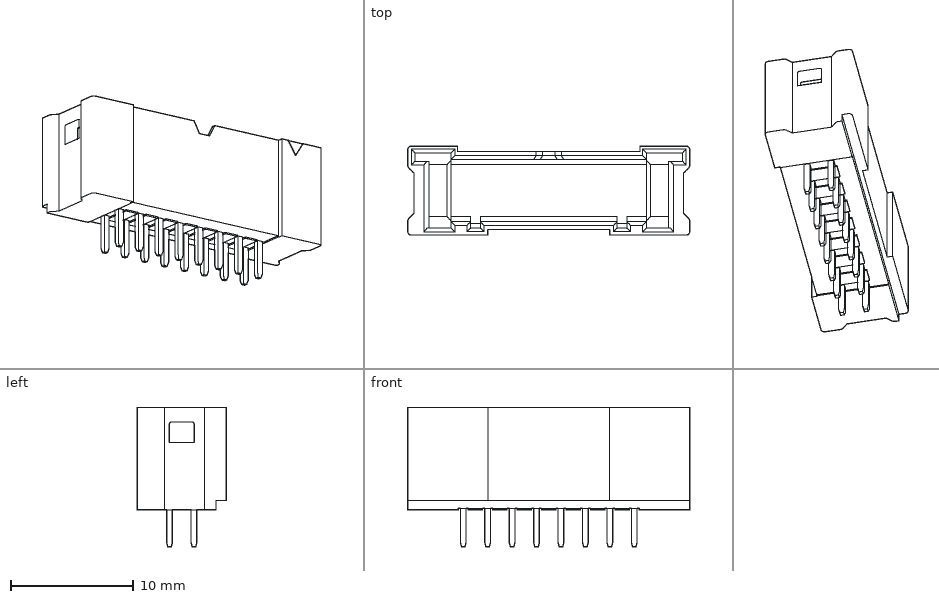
import cadquery as cq
import math

length = 23.1
width = 7.3
total_height = 11.4
pin_drop = 3.03
top = total_height - pin_drop
half_length = length / 2
half_width = width / 2
corner_radius = 0.3

pins_per_row = 8
pin_row_span = 14.0
pitch = pin_row_span / (pins_per_row - 1)
pin_xs = [-pin_row_span / 2 + i * pitch for i in range(pins_per_row)]
pin_ys = (-pitch / 2, pitch / 2)

groove_depth = 0.5
groove_front = -1.85
groove_back = 1.43
groove_lip_radius = 0.35
edge_tolerance = 0.02

front_recess_half = 5.0
back_recess_half = 7.45
front_recess_depth = 0.46
back_recess_depth = 0.45
underside_step_height = 0.76
underside_step_depth = 0.83

rim_chamfer = 0.3
side_chamfer_width = 0.42
side_chamfer_height = 0.5
center_half = 8.0
center_front = -2.55
center_back = 2.56
end_half = 9.8
end_front = -3.07
end_back = 3.1
ear_half = 10.95
ear_front = 2.4

floor_half_width = 2.13
floor_rise = 0.35
center_floor = 1.62
end_floor = center_floor - floor_rise

slot_pitches = 3
slot_offset = slot_pitches * pitch
slot_width = 0.79
slot_front = -3.05

notch_depth = 1.0
notch_top_half = 1.05
notch_bottom_half = 0.5

window_width = 2.0
window_top = top - 1.2
window_bottom = top - 2.86
window_radius = 0.16

mark_x = -8.87
mark_width = 1.5
mark_height = 1.15
mark_depth = 0.058

pin_width = 0.49
pin_tip_width = 0.3
pin_tip_height = 0.35

pin_gap_width = 0.8
relief_depth = 0.12
relief_half = pin_xs[-1] + pin_gap_width / 2
pad_width = pitch - pin_gap_width
pad_half_length = 1.39


def box(x0, x1, y0, y1, z0, z1):
    return cq.Workplane("XY").box(x1 - x0, y1 - y0, z1 - z0, centered=False).translate((x0, y0, z0))


def prism_x(yz_points, x0, x1):
    """Profile in Y and Z, extruded along X."""
    return cq.Workplane("YZ").polyline(yz_points).close().extrude(x1 - x0).translate((x0, 0, 0))


def prism_y(xz_points, y0, y1):
    """Profile in X and Z, extruded along Y."""
    return cq.Workplane("XZ").polyline(xz_points).close().extrude(y0 - y1).translate((0, y0, 0))


def with_mirror(solid):
    return solid.union(solid.mirror("YZ"))


def make_shell():
    shell = box(-half_length, half_length, -half_width, half_width, 0, top)
    shell = shell.edges("|Z").fillet(corner_radius)

    groove = (
        cq.Workplane("XY")
        .moveTo(-half_length, groove_front - groove_depth)
        .lineTo(-half_length + groove_depth, groove_front)
        .lineTo(-half_length + groove_depth, groove_back)
        .lineTo(-half_length, groove_back + groove_depth)
        .close()
        .extrude(top)
    )
    shell = shell.cut(with_mirror(groove))
    for x in (-half_length, half_length):
        for y in (groove_front - groove_depth, groove_back + groove_depth):
            lip = cq.selectors.BoxSelector(
                (x - edge_tolerance, y - edge_tolerance, 0),
                (x + edge_tolerance, y + edge_tolerance, top),
            )
            shell = shell.edges("|Z").edges(lip).fillet(groove_lip_radius)

    front_face = -half_width + front_recess_depth
    back_face = half_width - back_recess_depth
    step_face = -half_width + underside_step_depth
    shell = shell.cut(box(-front_recess_half, front_recess_half, -half_width, front_face, 0, top))
    shell = shell.cut(box(-back_recess_half, back_recess_half, back_face, half_width, 0, top))
    return shell.cut(box(-half_length, half_length, -half_width, step_face, 0, underside_step_height))


def room_profile(front, back, floor):
    """Cavity cross-section: flat floor, 45 degree slopes, upright walls and chamfered rim."""
    return [
        (-floor_half_width, floor),
        (floor_half_width, floor),
        (back, floor + back - floor_half_width),
        (back, top - rim_chamfer),
        (back + rim_chamfer, top),
        (front - rim_chamfer, top),
        (front, top - rim_chamfer),
        (front, floor - front - floor_half_width),
    ]


def make_center_room():
    return prism_x(room_profile(center_front, center_back, center_floor), -center_half, center_half)


def make_end_room():
    across = prism_x(room_profile(end_front, end_back, end_floor), -half_length, 0)
    along = prism_y(
        [
            (-end_half, end_floor),
            (-center_half - floor_rise, end_floor),
            (-center_half, center_floor),
            (-center_half, top - rim_chamfer),
            (-center_half + rim_chamfer, top),
            (-end_half - side_chamfer_width, top),
            (-end_half, top - side_chamfer_height),
        ],
        -half_width,
        half_width,
    )
    return across.intersect(along)


def make_ear():
    """Narrow extension of the end room behind the end wall."""
    across = prism_x(
        [
            (ear_front, end_floor + ear_front - floor_half_width),
            (end_back, end_floor + end_back - floor_half_width),
            (end_back, top - rim_chamfer),
            (end_back + rim_chamfer, top),
            (ear_front - rim_chamfer, top),
            (ear_front, top - rim_chamfer),
        ],
        -half_length,
        0,
    )
    along = prism_y(
        [
            (-ear_half, 0),
            (-end_half, 0),
            (-end_half, top),
            (-ear_half - rim_chamfer, top),
            (-ear_half, top - rim_chamfer),
        ],
        -half_width,
        half_width,
    )
    return across.intersect(along)


def make_slot():
    left = -slot_offset - slot_width / 2
    right = -slot_offset + slot_width / 2
    across = prism_x(
        [
            (0, center_floor),
            (slot_front + floor_rise, center_floor),
            (slot_front, center_floor + floor_rise),
            (slot_front, top - rim_chamfer),
            (slot_front - rim_chamfer, top),
            (0, top),
        ],
        -half_length,
        0,
    )
    along = prism_y(
        [
            (left, 0),
            (right, 0),
            (right, top - rim_chamfer),
            (right + rim_chamfer, top),
            (left - rim_chamfer, top),
            (left, top - rim_chamfer),
        ],
        -half_width,
        0,
    )
    return across.intersect(along)


def make_notch():
    """Trapezoidal notch whose inner edge is chamfered like the rim."""
    flank_slope = (notch_top_half - notch_bottom_half) / notch_depth
    flank_angle = math.atan(1 / flank_slope)
    corner_shift = rim_chamfer * math.tan(flank_angle / 2)

    def outline(offset_down, offset_out):
        bottom_half = notch_bottom_half + offset_out
        top_half = bottom_half + flank_slope * (notch_depth + offset_down)
        floor = top - notch_depth - offset_down
        return [(-top_half, top), (-bottom_half, floor), (bottom_half, floor), (top_half, top)]

    through = prism_y(outline(0, 0), 0, half_width)
    flare = (
        cq.Workplane("XZ", origin=(0, center_back, 0))
        .polyline(outline(rim_chamfer, corner_shift))
        .close()
        .workplane(offset=-rim_chamfer)
        .polyline(outline(0, 0))
        .close()
        .loft(ruled=True)
    )
    return through.union(flare)


def make_windows():
    window = box(
        -half_length, half_length, -window_width / 2, window_width / 2, window_bottom, window_top
    )
    return window.edges("|X and >Z").fillet(window_radius)


def make_pin_one_mark():
    points = [
        (mark_x - mark_width / 2, top),
        (mark_x, top - mark_height),
        (mark_x + mark_width / 2, top),
    ]
    return prism_y(points, half_width - mark_depth, half_width)


def make_underside_relief():
    """Shallow relief open to the front and back, less the pads left standing in it."""
    relief = box(-relief_half, relief_half, -half_width, half_width, 0, relief_depth)
    for x in pin_xs[:-1]:
        pad_left = x + pin_gap_width / 2
        pad = box(pad_left, pad_left + pad_width, -pad_half_length, pad_half_length, 0, relief_depth)
        relief = relief.cut(pad)
    return relief


def make_pin(x, y):
    shank = cq.Workplane("XY").rect(pin_width, pin_width)
    shank = shank.extrude(end_floor + pin_drop - pin_tip_height)
    shank = shank.translate((0, 0, pin_tip_height - pin_drop))
    tip = (
        cq.Workplane("XY", origin=(0, 0, -pin_drop))
        .rect(pin_tip_width, pin_tip_width)
        .workplane(offset=pin_tip_height)
        .rect(pin_width, pin_width)
        .loft()
    )
    return shank.union(tip).translate((x, y, 0))


body = make_shell()
body = body.cut(make_center_room())
for cavity in (make_end_room(), make_ear(), make_slot()):
    body = body.cut(with_mirror(cavity))
body = body.cut(make_notch())
body = body.cut(make_windows())
body = body.cut(make_pin_one_mark())
body = body.cut(make_underside_relief())

for pin_x in pin_xs:
    for pin_y in pin_ys:
        body = body.union(make_pin(pin_x, pin_y))

result = body